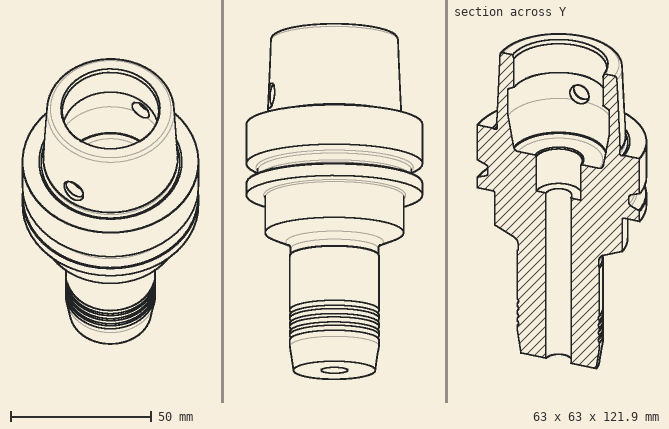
import cadquery as cq
import math

total_height = 121.9
tip_height = 8.9
neck_bottom = 42.0
body_bottom = 50.3
flange_bottom = 64.1
flange_top = 90.1

tip_radius = 14.6
sleeve_radius = 16.0
neck_radius = 15.7
body_radius = 24.7
flange_radius = 31.5
flange_top_chamfer = 0.1
gripper_rim_chamfer = 0.2

shoulder_angle = math.radians(24)
shoulder_fillet = 2.8
body_fillet = 0.6

ring_groove_count = 4
ring_groove_pitch = 3.0
lowest_ring_groove = 12.0
ring_groove_width = 1.8
ring_groove_radius = 1.2

gripper_floor_radius = 27.4
gripper_bottom = 68.6
gripper_top = 75.6
gripper_flank_angle = math.radians(21)
gripper_fillet = 1.0

taper_base_height = 92.0
taper_base_radius = 24.0
taper_top_radius = 22.7
taper_top_fillet = 1.2
undercut_depth = 0.2
relief_fillet = 1.0
relief_outer_radius = 25.5
relief_depth = 0.4

bore_radius = 17.2
lip_width = 0.5
lip_depth = 1.5
bore_depth = 13.3
clamp_angle = math.radians(30)
recess_radius = 19.5
recess_depth = 25.1
recess_back_angle = math.radians(10)
well_depth = 39.3
well_fillet = 1.5
coolant_radius = 8.5
coolant_depth = 14.6
coolant_chamfer = 0.5
through_radius = 4.8

cross_hole_radius = 3.7
cross_hole_height = 99.2
countersink_radius = 4.5


def revolve_profile(profile):
    return profile.close().revolve(360, (0, 0), (0, 1))


def outer_body():
    """Everything outside, as one turned profile from the tool end up to the taper."""
    shoulder_rise = (body_radius - neck_radius) * math.tan(shoulder_angle)
    shoulder_tangent = shoulder_fillet * math.tan((math.pi / 2 - shoulder_angle) / 2)
    shoulder_corner = body_bottom - shoulder_rise
    flank_rise = (flange_radius - gripper_floor_radius) * math.tan(gripper_flank_angle)
    gripper_tangent = gripper_fillet * math.tan((math.pi / 2 - gripper_flank_angle) / 2)
    gripper_low_corner = gripper_bottom + flank_rise
    gripper_high_corner = gripper_top - flank_rise
    gripper_fillet_end = gripper_floor_radius + gripper_tangent * math.cos(gripper_flank_angle)
    gripper_fillet_rise = gripper_tangent * math.sin(gripper_flank_angle)
    rim_chamfer_rise = gripper_rim_chamfer * math.tan(gripper_flank_angle)
    neck_step = sleeve_radius - neck_radius
    undercut_radius = taper_base_radius - undercut_depth
    relief_floor = flange_top - relief_depth

    profile = (
        cq.Workplane("XZ")
        .lineTo(tip_radius, 0)
        .lineTo(sleeve_radius, tip_height)
        .lineTo(sleeve_radius, neck_bottom - neck_step)
        .lineTo(neck_radius, neck_bottom)
        .lineTo(neck_radius, shoulder_corner - shoulder_tangent)
        .radiusArc(
            (
                neck_radius + shoulder_tangent * math.cos(shoulder_angle),
                shoulder_corner + shoulder_tangent * math.sin(shoulder_angle),
            ),
            shoulder_fillet,
        )
        .lineTo(body_radius, body_bottom)
        .lineTo(body_radius, flange_bottom - body_fillet)
        .radiusArc((body_radius + body_fillet, flange_bottom), body_fillet)
        .lineTo(flange_radius, flange_bottom)
        .lineTo(flange_radius, gripper_bottom - gripper_rim_chamfer)
        .lineTo(flange_radius - gripper_rim_chamfer, gripper_bottom + rim_chamfer_rise)
        .lineTo(gripper_fillet_end, gripper_low_corner - gripper_fillet_rise)
        .radiusArc((gripper_floor_radius, gripper_low_corner + gripper_tangent), gripper_fillet)
        .lineTo(gripper_floor_radius, gripper_high_corner - gripper_tangent)
        .radiusArc((gripper_fillet_end, gripper_high_corner + gripper_fillet_rise), gripper_fillet)
        .lineTo(flange_radius, gripper_top)
        .lineTo(flange_radius, flange_top - flange_top_chamfer)
        .lineTo(flange_radius - flange_top_chamfer, flange_top)
        .lineTo(relief_outer_radius, flange_top)
        .lineTo(undercut_radius + relief_fillet, relief_floor)
        .radiusArc((undercut_radius, relief_floor + relief_fillet), relief_fillet)
        .lineTo(undercut_radius, taper_base_height - undercut_depth)
        .lineTo(taper_base_radius, taper_base_height)
        .lineTo(taper_top_radius, total_height)
        .lineTo(0, total_height)
    )
    return revolve_profile(profile).faces(">Z").edges().fillet(taper_top_fillet)


def ring_groove(height):
    """Ring with a rounded inner side, centred on the given height."""
    half_width = ring_groove_width / 2
    profile = (
        cq.Workplane("XZ")
        .moveTo(sleeve_radius, height - half_width)
        .radiusArc((sleeve_radius, height + half_width), ring_groove_radius)
        .lineTo(flange_radius, height + half_width)
        .lineTo(flange_radius, height - half_width)
    )
    return revolve_profile(profile)


def cavity():
    """Clamping bore, recess, coolant tube seat and the bore through to the tool end."""
    bore_end = total_height - bore_depth
    clamp_drop = (recess_radius - bore_radius) * math.tan(clamp_angle)
    recess_end = total_height - recess_depth
    back_drop = (recess_radius - bore_radius) / math.tan(recess_back_angle)
    well_floor = total_height - well_depth
    coolant_floor = well_floor - coolant_depth
    profile = (
        cq.Workplane("XZ")
        .lineTo(through_radius, 0)
        .lineTo(through_radius, coolant_floor)
        .lineTo(coolant_radius, coolant_floor)
        .lineTo(coolant_radius, well_floor - coolant_chamfer)
        .lineTo(coolant_radius + coolant_chamfer, well_floor)
        .lineTo(bore_radius - well_fillet, well_floor)
        .radiusArc((bore_radius, well_floor + well_fillet), -well_fillet)
        .lineTo(bore_radius, recess_end - back_drop)
        .lineTo(recess_radius, recess_end)
        .lineTo(recess_radius, bore_end - clamp_drop)
        .lineTo(bore_radius, bore_end)
        .lineTo(bore_radius, total_height - lip_depth)
        .lineTo(bore_radius + lip_width, total_height)
        .lineTo(0, total_height)
    )
    return revolve_profile(profile)


def cross_hole():
    """Hole along Y with a 90 degree countersink where it breaks out on each side."""
    taper_slope = (taper_base_radius - taper_top_radius) / (total_height - taper_base_height)
    wall_radius = taper_base_radius - taper_slope * (cross_hole_height - taper_base_height)
    outer_end = taper_base_radius + undercut_depth
    cone_radius = countersink_radius + outer_end - wall_radius
    cone_start = outer_end - (cone_radius - cross_hole_radius)
    profile = (
        cq.Workplane("XY", origin=(0, 0, cross_hole_height))
        .moveTo(0, -outer_end)
        .lineTo(cone_radius, -outer_end)
        .lineTo(cross_hole_radius, -cone_start)
        .lineTo(cross_hole_radius, cone_start)
        .lineTo(cone_radius, outer_end)
        .lineTo(0, outer_end)
    )
    return revolve_profile(profile)


result = outer_body().cut(cavity()).cut(cross_hole())
for groove_index in range(ring_groove_count):
    result = result.cut(ring_groove(lowest_ring_groove + groove_index * ring_groove_pitch))